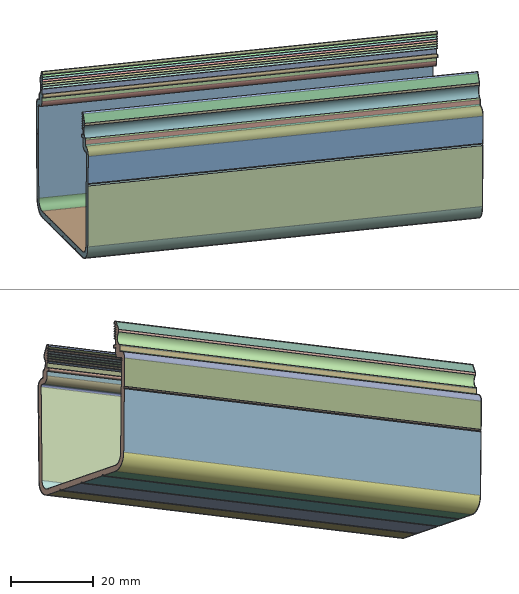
import cadquery as cq
import math


LENGTH = 100.0
HEIGHT = 37.01
WIDTH = 41.05

WALL = 1.5
BASE_HALF_WIDTH = 20.07
CORNER_RADIUS = 4.0
INNER_CORNER_RADIUS = CORNER_RADIUS - WALL

SHOULDER_TOP = 29.15
SHOULDER_RADIUS = 2.0
SHOULDER_INNER_RADIUS = SHOULDER_RADIUS - WALL
STEP_X = 18.25
STEP_TOP = 30.95
STEP_CORNER = 0.35
STEM_INNER_X = 16.15
STEM_BOTTOM_RADIUS = 1.7

BEAD_RADIUS = 0.4
BEAD_CENTER_X = 15.6
BEAD_CENTER_Z = 30.85

NECK_X = 17.05
NECK_MID_Z = 32.65
BARB_X = 17.7
BARB_BOTTOM = 34.1
BARB_TOP = 34.7
HEAD_TIP_RADIUS = 0.55
HEAD_SLOPE = 30.0

TOOTH_COUNT = 6
TOOTH_PITCH = 0.6
TOOTH_TIP_X = 15.5
TEETH_BOTTOM = 32.5

GROOVE_WIDTH = 0.6
BASE_GROOVE_SPACING = 10.0
WALL_GROOVE_Z = 19.9

HALF_WIDTH = WIDTH / 2
SHOULDER_CENTER_X = HALF_WIDTH - SHOULDER_RADIUS
SHOULDER_CENTER_Z = SHOULDER_TOP - SHOULDER_RADIUS
SHOULDER_BOTTOM = SHOULDER_TOP - WALL
CORNER_CENTER_X = BASE_HALF_WIDTH - CORNER_RADIUS
STEM_BOTTOM_CENTER_X = STEM_INNER_X + STEM_BOTTOM_RADIUS
STEM_BOTTOM_CENTER_Z = SHOULDER_BOTTOM + STEM_BOTTOM_RADIUS
TEETH_TOP = TEETH_BOTTOM + TOOTH_COUNT * TOOTH_PITCH
STEP_FILLET = SHOULDER_CENTER_X - STEP_X
STEP_CORNER_MID = STEP_CORNER * (1 - math.sqrt(0.5))
HEAD_TIP_CENTER_X = TOOTH_TIP_X + HEAD_TIP_RADIUS
HEAD_TIP_CENTER_Z = HEIGHT - HEAD_TIP_RADIUS


def on_circle(center_x, center_z, radius, degrees):
    """Point on a circle, measured counter-clockwise from +X."""
    angle = math.radians(degrees)
    return (center_x + radius * math.cos(angle), center_z + radius * math.sin(angle))


def draw_outer_side(path):
    """From the middle of the base up the outside to the tip of the clip head."""
    path = path.lineTo(CORNER_CENTER_X, 0)
    path = path.threePointArc(
        on_circle(CORNER_CENTER_X, CORNER_RADIUS, CORNER_RADIUS, -45),
        (BASE_HALF_WIDTH, CORNER_RADIUS),
    )
    path = path.lineTo(HALF_WIDTH, SHOULDER_CENTER_Z)
    path = path.threePointArc(
        on_circle(SHOULDER_CENTER_X, SHOULDER_CENTER_Z, SHOULDER_RADIUS, 45),
        (SHOULDER_CENTER_X, SHOULDER_TOP),
    )
    path = path.threePointArc(
        on_circle(SHOULDER_CENTER_X, SHOULDER_TOP + STEP_FILLET, STEP_FILLET, 225),
        (STEP_X, SHOULDER_TOP + STEP_FILLET),
    )
    path = path.lineTo(STEP_X, STEP_TOP - STEP_CORNER)
    path = path.threePointArc(
        (STEP_X - STEP_CORNER_MID, STEP_TOP - STEP_CORNER_MID),
        (STEP_X - STEP_CORNER, STEP_TOP),
    )
    path = path.threePointArc((NECK_X, NECK_MID_Z), (BARB_X, BARB_BOTTOM))
    path = path.lineTo(BARB_X, BARB_TOP)
    return path.lineTo(*on_circle(HEAD_TIP_CENTER_X, HEAD_TIP_CENTER_Z, HEAD_TIP_RADIUS, HEAD_SLOPE))


def draw_head_inside(path):
    """Over the rounded tip and down the teeth to the neck."""
    path = path.threePointArc(
        (HEAD_TIP_CENTER_X, HEIGHT),
        (TOOTH_TIP_X, HEAD_TIP_CENTER_Z),
    )
    path = path.lineTo(STEM_INNER_X, TEETH_TOP)
    for tooth in range(TOOTH_COUNT):
        root_z = TEETH_TOP - tooth * TOOTH_PITCH
        path = path.lineTo(TOOTH_TIP_X, root_z - TOOTH_PITCH / 2)
        path = path.lineTo(STEM_INNER_X, root_z - TOOTH_PITCH)
    return path


def draw_inner_side(path):
    """Past the bead, under the shoulder and down the inside to the middle of the floor."""
    path = path.lineTo(STEM_INNER_X, BEAD_CENTER_Z + BEAD_RADIUS)
    path = path.lineTo(BEAD_CENTER_X, BEAD_CENTER_Z + BEAD_RADIUS)
    path = path.threePointArc(
        (BEAD_CENTER_X - BEAD_RADIUS, BEAD_CENTER_Z),
        (BEAD_CENTER_X, BEAD_CENTER_Z - BEAD_RADIUS),
    )
    path = path.lineTo(STEM_INNER_X, BEAD_CENTER_Z - BEAD_RADIUS)
    path = path.lineTo(STEM_INNER_X, STEM_BOTTOM_CENTER_Z)
    path = path.threePointArc(
        on_circle(STEM_BOTTOM_CENTER_X, STEM_BOTTOM_CENTER_Z, STEM_BOTTOM_RADIUS, 225),
        (STEM_BOTTOM_CENTER_X, SHOULDER_BOTTOM),
    )
    path = path.lineTo(SHOULDER_CENTER_X, SHOULDER_BOTTOM)
    path = path.threePointArc(
        on_circle(SHOULDER_CENTER_X, SHOULDER_CENTER_Z, SHOULDER_INNER_RADIUS, 45),
        (HALF_WIDTH - WALL, SHOULDER_CENTER_Z),
    )
    path = path.lineTo(BASE_HALF_WIDTH - WALL, CORNER_RADIUS)
    path = path.threePointArc(
        on_circle(CORNER_CENTER_X, CORNER_RADIUS, INNER_CORNER_RADIUS, -45),
        (CORNER_CENTER_X, WALL),
    )
    return path.lineTo(0, WALL)


def extrude_along_y(profile):
    return profile.extrude(LENGTH / 2, both=True)


def make_channel():
    path = cq.Workplane("XZ").moveTo(0, 0)
    path = draw_outer_side(path)
    path = draw_head_inside(path)
    path = draw_inner_side(path)
    half = extrude_along_y(path.close())
    return half.union(half.mirror("YZ")).clean()


def make_groove(x, z):
    """Diamond bar centred on a surface, leaving a V groove half as deep as it is wide."""
    reach = GROOVE_WIDTH / 2
    corners = [(x - reach, z), (x, z - reach), (x + reach, z), (x, z + reach)]
    return extrude_along_y(cq.Workplane("XZ").polyline(corners).close())


def cut_grooves(channel):
    rise = (WALL_GROOVE_Z - CORNER_RADIUS) / (SHOULDER_CENTER_Z - CORNER_RADIUS)
    wall_x = BASE_HALF_WIDTH + rise * (HALF_WIDTH - BASE_HALF_WIDTH)
    for side in (-1, 0, 1):
        channel = channel.cut(make_groove(side * BASE_GROOVE_SPACING, 0))
    for side in (-1, 1):
        channel = channel.cut(make_groove(side * wall_x, WALL_GROOVE_Z))
    return channel


result = cut_grooves(make_channel())